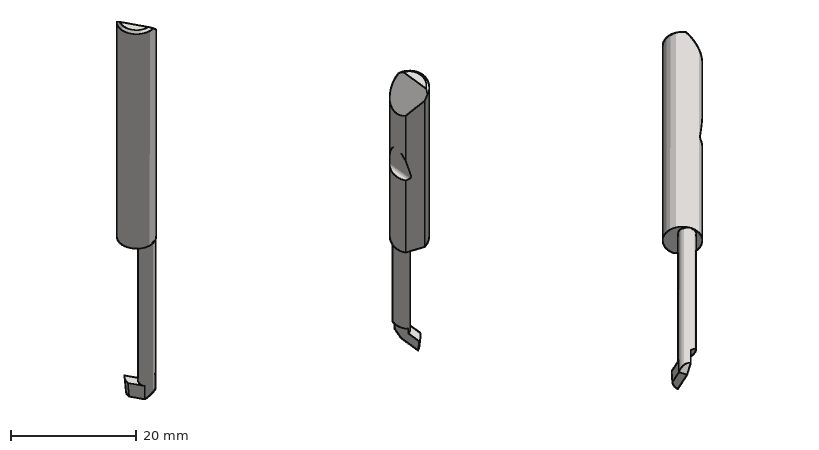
import cadquery as cq
import math

total_length = 76.2
shank_radius = 3.16
neck_length = 31.85
cut_size = 4 * shank_radius

end_chamfer = 0.45
bevel_end_y = -1.3

flat_direction = 150.0
flat_distance = shank_radius * math.cos(math.radians(30))

notch_bottom = 53.1
notch_top = 61.4
notch_depth = 1.2
notch_radius = 0.8

neck_radius = 1.45
neck_x = shank_radius - neck_radius
rake_y = 0.0
rake_start = 4.35
tip_chamfer = 1.4

head_top = 3.0
head_top_drop = 0.2
head_right = 1.75
head_left = -2.02
head_front_left = -1.03
flank_bulge = 0.115
side_relief = 0.2


def make_shank():
    """Round shank with a chamfered end, a bevel, a flat and a notch."""
    shank = (
        cq.Workplane("XY")
        .workplane(offset=neck_length)
        .circle(shank_radius)
        .extrude(total_length - neck_length)
        .faces(">Z")
        .chamfer(end_chamfer)
    )

    bevel = (
        cq.Workplane("YZ")
        .moveTo(bevel_end_y, total_length)
        .lineTo(bevel_end_y + cut_size, total_length - cut_size)
        .lineTo(bevel_end_y + cut_size, total_length)
        .close()
        .extrude(cut_size, both=True)
    )

    flat = (
        cq.Workplane("XY")
        .box(cut_size, cut_size, total_length, centered=(False, True, False))
        .translate((flat_distance, 0, 0))
        .rotate((0, 0, 0), (0, 0, 1), flat_direction)
    )

    floor_y = shank_radius - notch_depth
    notch = (
        cq.Workplane("YZ")
        .moveTo(shank_radius, notch_top)
        .lineTo(floor_y, notch_bottom + notch_radius)
        .radiusArc((floor_y + notch_radius, notch_bottom), -notch_radius)
        .lineTo(shank_radius, notch_bottom)
        .close()
        .extrude(cut_size, both=True)
    )
    return shank.cut(bevel).cut(flat).cut(notch)


def make_neck():
    """Round neck, halved near the tip and chamfered at its outer corner."""
    neck = cq.Workplane("XY").center(neck_x, 0).circle(neck_radius).extrude(neck_length)

    rake_cut = (
        cq.Workplane("YZ")
        .moveTo(rake_y, 0)
        .lineTo(rake_y, rake_start)
        .lineTo(rake_y + cut_size, rake_start + cut_size)
        .lineTo(rake_y + cut_size, 0)
        .close()
        .extrude(cut_size, both=True)
    )

    corner_cut = (
        cq.Workplane("XZ")
        .moveTo(shank_radius - tip_chamfer, 0)
        .lineTo(shank_radius, tip_chamfer)
        .lineTo(shank_radius, 0)
        .close()
        .extrude(cut_size, both=True)
    )
    return neck.cut(rake_cut).cut(corner_cut)


def head_outline(plane, relief):
    """Head outline with its curved -X flank moved inward by the relief."""
    left = head_left + relief
    front_left = head_front_left + relief
    bulge_point = ((left + front_left) / 2 - flank_bulge, (rake_y - neck_radius) / 2 - flank_bulge)
    return (
        plane.moveTo(left, rake_y)
        .threePointArc(bulge_point, (front_left, -neck_radius))
        .lineTo(head_right, -neck_radius)
        .lineTo(head_right, rake_y)
        .close()
    )


def make_head():
    """Cutting head that narrows downward and whose top slopes toward -Y."""
    lower = head_outline(cq.Workplane("XY"), side_relief)
    head = head_outline(lower.workplane(offset=head_top), 0).loft(ruled=True)

    top_cut = (
        cq.Workplane("YZ")
        .moveTo(rake_y, head_top)
        .lineTo(-neck_radius, head_top - head_top_drop)
        .lineTo(-neck_radius, head_top)
        .close()
        .extrude(cut_size, both=True)
    )
    return head.cut(top_cut)


result = make_shank().union(make_neck()).union(make_head())